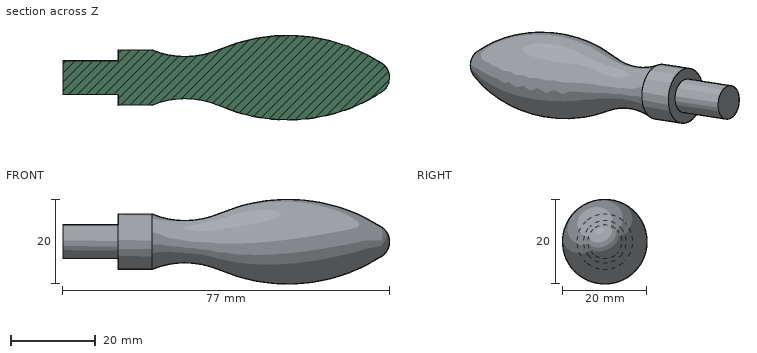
import cadquery as cq
import math

total_length = 77.0
stem_length = 13.0
collar_length = 8.0
collar_end_x = stem_length + collar_length
waist_x = 28.7
neck_end_x = 36.95
grip_peak_x = 53.3
tip_start_x = 75.2

stem_radius = 4.0
collar_radius = 6.55
waist_radius = 5.0
neck_end_radius = 6.7
grip_radius = 10.0
tip_start_radius = 3.4


def neck_arc_middle(end_x, end_radius):
    """Point halfway along the arc that leaves the waist parallel to the axis and reaches the given end."""
    run = end_x - waist_x
    rise = end_radius - waist_radius
    arc_radius = (run**2 + rise**2) / (2 * rise)
    half_angle = math.asin(run / arc_radius) / 2
    return (
        waist_x + arc_radius * math.sin(half_angle),
        waist_radius + arc_radius * (1 - math.cos(half_angle)),
    )


def tip_arc_middle():
    """Point halfway along the spherical tip, whose centre lies on the axis."""
    depth = total_length - tip_start_x
    sphere_radius = (depth**2 + tip_start_radius**2) / (2 * depth)
    half_angle = math.asin(tip_start_radius / sphere_radius) / 2
    return (
        total_length - sphere_radius * (1 - math.cos(half_angle)),
        sphere_radius * math.sin(half_angle),
    )


profile = (
    cq.Workplane("XY")
    .moveTo(0, 0)
    .lineTo(0, stem_radius)
    .lineTo(stem_length, stem_radius)
    .lineTo(stem_length, collar_radius)
    .lineTo(collar_end_x, collar_radius)
    .threePointArc(neck_arc_middle(collar_end_x, collar_radius), (waist_x, waist_radius))
    .threePointArc(neck_arc_middle(neck_end_x, neck_end_radius), (neck_end_x, neck_end_radius))
    .threePointArc((grip_peak_x, grip_radius), (tip_start_x, tip_start_radius))
    .threePointArc(tip_arc_middle(), (total_length, 0))
    .close()
)

result = profile.revolve(360, (0, 0, 0), (1, 0, 0))